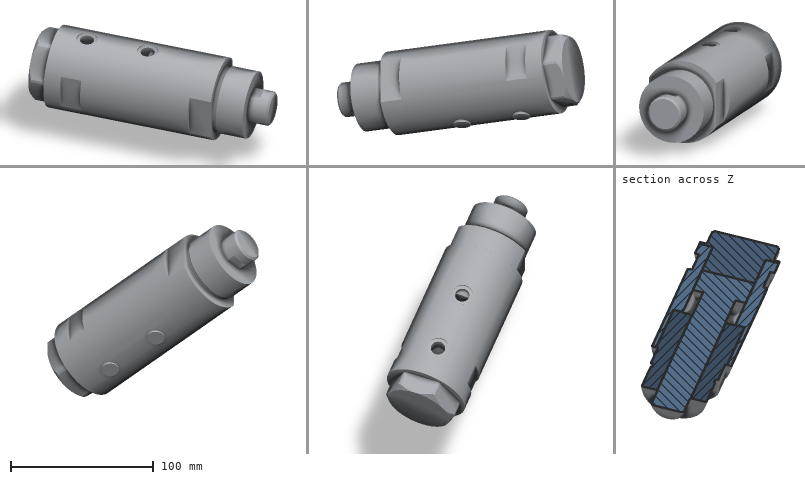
import cadquery as cq
import math


overall_length = 172.42
hex_height = 13.2
flange_thickness = 1.5
housing_length = 104.5
collar_length = 15.6
nose_length = 22.9
spigot_length = 38.0

housing_start = hex_height + flange_thickness
housing_end = housing_start + housing_length
collar_end = housing_end + collar_length
nose_end = collar_end + nose_length
gland_start = housing_end - spigot_length

outer_radius = 29.5
bore_radius = 19.3
counterbore_radius = 26.0
rod_radius = 12.2

port_positions = [housing_start + 21.0, housing_start + 65.6]
port_radius = 5.0
spotface_radius = 7.5
spotface_depth = 1.0
boss_positions = [housing_start + 24.2, housing_start + 68.4]
boss_radius = 6.1
boss_height = 1.1
housing_flat_start = housing_start + 10.4
housing_flat_length = 15.0
housing_flat_half_width = 26.5

hex_across_flats = 46.0
hex_corner_radius = 26.0
hex_chamfer = hex_corner_radius - hex_across_flats / 2
hex_turn = 22.4
flat_to_corner_angle = 30
plug_length = 24.1
plug_end = housing_start + plug_length

collar_flat_half_width = 25.0
nose_radius = 24.0
relief_radius = 23.0
relief_fillet = 0.8
relief_flat_length = 1.3
relief_ramp_angle = math.radians(45)

piston_length = 20.0
rod_flat_half_width = 10.7
rod_flat_length = 6.8
rod_chamfer = 1.4


def cylinder_x(start, end, radius):
    """Solid cylinder on the X axis between two stations."""
    return cq.Workplane("YZ", origin=(start, 0, 0)).circle(radius).extrude(end - start)


def vertical_cylinder(x, bottom, top, radius):
    """Solid cylinder parallel to Z at station x on the axis plane."""
    return cq.Workplane("XY", origin=(x, 0, bottom)).circle(radius).extrude(top - bottom)


def side_slab(start, length, half_width, side):
    """Block covering everything further out than half_width on one Y side."""
    thickness = outer_radius
    slab = cq.Workplane("XY").box(length, thickness, 2 * outer_radius, centered=(False, True, True))
    return slab.translate((start, side * (half_width + thickness / 2), 0))


def make_housing():
    """Stepped tube with two top ports, two bottom bosses and a pair of wrench flats."""
    tube = cylinder_x(housing_start, housing_end, outer_radius)
    for x in boss_positions:
        tube = tube.union(vertical_cylinder(x, -outer_radius - boss_height, 0, boss_radius))
    tube = tube.cut(cylinder_x(housing_start, housing_end, bore_radius))
    tube = tube.cut(cylinder_x(gland_start, housing_end, counterbore_radius))
    for x in port_positions:
        tube = tube.cut(vertical_cylinder(x, 0, outer_radius, port_radius))
        tube = tube.cut(vertical_cylinder(x, outer_radius - spotface_depth, outer_radius, spotface_radius))
    for side in (-1, 1):
        tube = tube.cut(side_slab(housing_flat_start, housing_flat_length, housing_flat_half_width, side))
    return tube


def make_end_cap():
    """Chamfered hex head, flange and a plug filling the rear of the bore."""
    hexagon = (
        cq.Workplane("YZ")
        .polygon(6, hex_across_flats / math.cos(math.radians(flat_to_corner_angle)))
        .extrude(hex_height)
        .rotate((0, 0, 0), (1, 0, 0), hex_turn + flat_to_corner_angle)
    )
    turned_blank = cylinder_x(0, hex_height, hex_corner_radius).faces("<X").chamfer(hex_chamfer)
    return (
        hexagon.intersect(turned_blank)
        .union(cylinder_x(hex_height, housing_start, outer_radius))
        .union(cylinder_x(housing_start, plug_end, bore_radius))
    )


def make_gland():
    """Spigot in the housing counterbore, collar with flats, relief groove and nose, bored for the rod."""
    fillet_end = collar_end + relief_fillet
    flat_end = fillet_end + relief_flat_length
    fillet_inset = relief_fillet * (1 - math.sqrt(0.5))

    def front_fillet_point(angle):
        """Point on the fillet that leads from the groove floor into the ramp."""
        return (
            flat_end + relief_fillet * math.sin(angle),
            relief_radius + relief_fillet * (1 - math.cos(angle)),
        )

    ramp_start, ramp_start_radius = front_fillet_point(relief_ramp_angle)
    ramp_end = ramp_start + (nose_radius - ramp_start_radius) / math.tan(relief_ramp_angle)
    gland = (
        cq.Workplane("XY")
        .moveTo(gland_start, rod_radius)
        .lineTo(gland_start, counterbore_radius)
        .lineTo(housing_end, counterbore_radius)
        .lineTo(housing_end, outer_radius)
        .lineTo(collar_end, outer_radius)
        .lineTo(collar_end, relief_radius + relief_fillet)
        .threePointArc(
            (collar_end + fillet_inset, relief_radius + fillet_inset),
            (fillet_end, relief_radius),
        )
        .lineTo(flat_end, relief_radius)
        .threePointArc(front_fillet_point(relief_ramp_angle / 2), (ramp_start, ramp_start_radius))
        .lineTo(ramp_end, nose_radius)
        .lineTo(nose_end, nose_radius)
        .lineTo(nose_end, rod_radius)
        .close()
        .revolve(360, (0, 0, 0), (1, 0, 0))
    )
    for side in (-1, 1):
        gland = gland.cut(side_slab(housing_end, collar_length, collar_flat_half_width, side))
    return gland


def make_piston_rod():
    """Rod with a piston resting on the cap plug and two flats just outside the nose."""
    piston_end = plug_end + piston_length
    rod = (
        cylinder_x(piston_end, overall_length, rod_radius)
        .faces(">X")
        .chamfer(rod_chamfer)
        .union(cylinder_x(plug_end, piston_end, bore_radius))
    )
    for side in (-1, 1):
        flat = side_slab(nose_end, rod_flat_length, rod_flat_half_width, side)
        rod = rod.cut(flat.rotate((0, 0, 0), (1, 0, 0), 90))
    return rod


housing = make_housing()
end_cap = make_end_cap()
gland = make_gland()
piston_rod = make_piston_rod()

result = cq.Compound.makeCompound([housing.val(), end_cap.val(), gland.val(), piston_rod.val()])